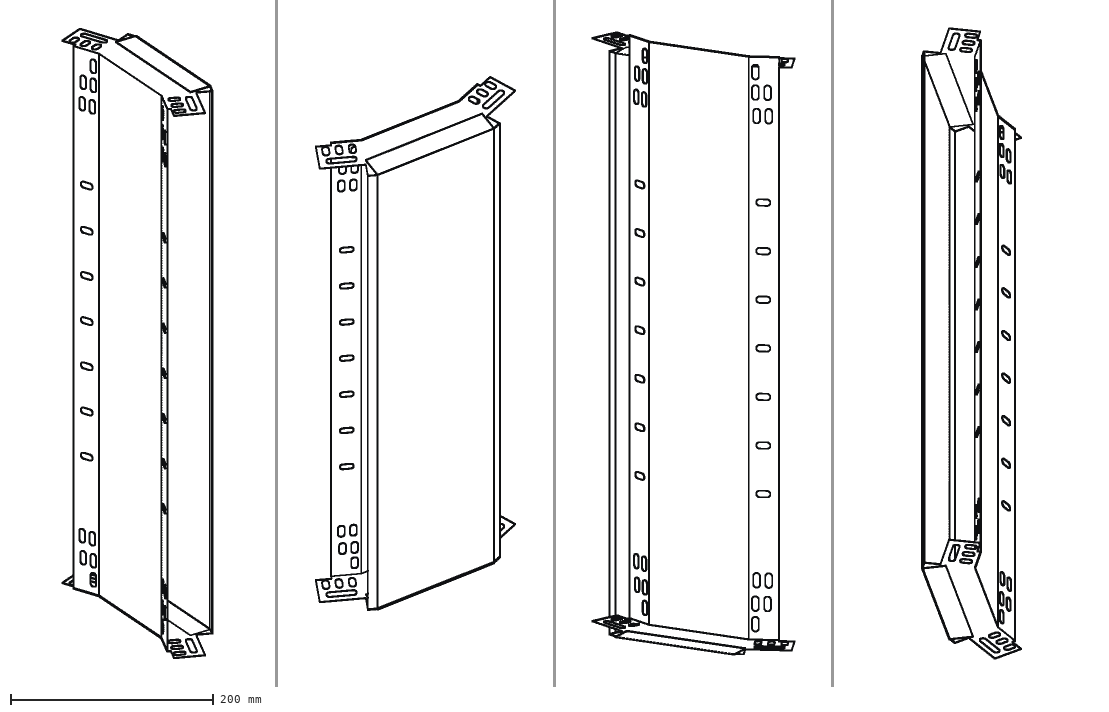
import cadquery as cq
import math

TOTAL_HEIGHT = 603.0
SHEET = 0.8
FOLD_ANGLE = 22.5

WEB_FRONT_Y = -52.0
WEB_HALF_WIDTH = 55.5
WING_WIDTH = 30.0
EAR_LENGTH = 46.0
EAR_DEPTH = 31.5
EAR_SETBACK = 3.9

COVER_HALF_WIDTH = 66.5
LIP_WIDTH = 9.5
FLAP_DEPTH = 24.0

END_SLOT_LENGTH = 15.0
END_SLOT_WIDTH = 6.5
END_SLOT_PITCH = 12.0
FIRST_SLOT_ACROSS = 6.5
LAST_ROW_SHIFT = 1.0
END_ROW_DEPTHS = (16.0, 37.5, 61.5)
SIDE_SLOT_LENGTH = 14.0
SIDE_SLOT_WIDTH = 6.5
SIDE_SLOT_ACROSS = 14.5
SIDE_SLOT_PITCH = 50.0
SIDE_SLOT_COUNT = 7

EAR_SLOT_LENGTH = 12.0
EAR_SLOT_WIDTH = 6.5
EAR_SLOT_COUNT = 3
EAR_SLOT_PITCH = 13.0
FIRST_EAR_SLOT_ACROSS = 10.0
EAR_SLOT_BEHIND = 11.5
LONG_SLOT_LENGTH = 30.0
LONG_SLOT_WIDTH = 6.5
LONG_SLOT_ACROSS = 23.0
LONG_SLOT_BEHIND = 26.0

ALONG = 0
SQUARE = 90

COS = math.cos(math.radians(FOLD_ANGLE))
SIN = math.sin(math.radians(FOLD_ANGLE))
MITRE = SHEET * math.tan(math.radians(FOLD_ANGLE / 2))
CHANNEL_HEIGHT = TOTAL_HEIGHT - 2 * SHEET
CHANNEL_TOP = CHANNEL_HEIGHT / 2


def wing_point(across, behind):
    """Point on the right-hand side: across from the fold along the wing, behind its front face."""
    x = WEB_HALF_WIDTH + across * COS + behind * SIN
    y = WEB_FRONT_Y - across * SIN + behind * COS
    return (x, y)


def lip_point(across, inside):
    """Point on the right-hand cover lip: across from the fold, inside its rear face."""
    x = COVER_HALF_WIDTH + across * COS - inside * SIN
    y = -across * SIN - inside * COS
    return (x, y)


def mirrored_outline(right_half):
    """Closed outline from its right half, listed from the front to the rear."""
    left_half = [(-x, y) for x, y in reversed(right_half)]
    return cq.Workplane("XY").polyline(right_half + left_half).close()


def both_sides(shape):
    return shape.union(shape.mirror("YZ"))


def both_ends(shape):
    return shape.union(shape.mirror("XY"))


def folded_sheet():
    outline = mirrored_outline([
        (WEB_HALF_WIDTH, WEB_FRONT_Y),
        wing_point(WING_WIDTH, 0),
        wing_point(WING_WIDTH, SHEET),
        (WEB_HALF_WIDTH + MITRE, WEB_FRONT_Y + SHEET),
    ])
    return outline.extrude(CHANNEL_HEIGHT).translate((0, 0, -CHANNEL_TOP))


def end_plate():
    """Upper end plate; its dovetail rear edge lies against the inside of the cover."""
    ear_rear = EAR_SETBACK + EAR_DEPTH
    lip_end = lip_point(LIP_WIDTH, SHEET)
    lip_across = (lip_end[0] - WEB_HALF_WIDTH) * COS - (lip_end[1] - WEB_FRONT_Y) * SIN
    outline = mirrored_outline([
        (WEB_HALF_WIDTH, WEB_FRONT_Y),
        wing_point(WING_WIDTH, 0),
        wing_point(WING_WIDTH, EAR_SETBACK),
        wing_point(EAR_LENGTH, EAR_SETBACK),
        wing_point(EAR_LENGTH, ear_rear),
        wing_point(lip_across, ear_rear),
        lip_end,
        (COVER_HALF_WIDTH - MITRE, -SHEET),
    ])
    return outline.extrude(SHEET).translate((0, 0, CHANNEL_TOP - SHEET))


def wing_slot(length, width, across, height, angle):
    """Slot cutter through the right wing, turned from the direction across it."""
    x, y = wing_point(across, SHEET / 2)
    plane = cq.Plane(origin=(x, y, height), xDir=(COS, -SIN, 0), normal=(-SIN, -COS, 0))
    return cq.Workplane(plane).slot2D(length, width, angle).extrude(SHEET, both=True)


def end_slots():
    """The five upright slots near the upper end of the right wing."""
    near, middle, far = [CHANNEL_TOP - depth for depth in END_ROW_DEPTHS]
    second = FIRST_SLOT_ACROSS + END_SLOT_PITCH
    places = [
        (FIRST_SLOT_ACROSS, near),
        (FIRST_SLOT_ACROSS, middle),
        (second, middle),
        (FIRST_SLOT_ACROSS + LAST_ROW_SHIFT, far),
        (second + LAST_ROW_SHIFT, far),
    ]
    slots = cq.Workplane("XY")
    for across, height in places:
        slots = slots.add(wing_slot(END_SLOT_LENGTH, END_SLOT_WIDTH, across, height, SQUARE))
    return slots.combine()


def side_slots():
    """The evenly spaced slots that lie across the right wing."""
    slots = cq.Workplane("XY")
    for index in range(SIDE_SLOT_COUNT):
        height = (index - (SIDE_SLOT_COUNT - 1) / 2) * SIDE_SLOT_PITCH
        slots = slots.add(wing_slot(SIDE_SLOT_LENGTH, SIDE_SLOT_WIDTH, SIDE_SLOT_ACROSS, height, ALONG))
    return slots.combine()


def ear_slot(length, width, across, behind, angle):
    """Slot cutter through the upper right ear, turned from the direction of the wing."""
    x, y = wing_point(across, behind)
    plane = cq.Plane(origin=(x, y, CHANNEL_TOP - SHEET / 2), xDir=(COS, -SIN, 0), normal=(0, 0, 1))
    return cq.Workplane(plane).slot2D(length, width, angle).extrude(SHEET, both=True)


def ear_slots():
    slots = ear_slot(LONG_SLOT_LENGTH, LONG_SLOT_WIDTH, LONG_SLOT_ACROSS, LONG_SLOT_BEHIND, ALONG)
    for index in range(EAR_SLOT_COUNT):
        across = FIRST_EAR_SLOT_ACROSS + index * EAR_SLOT_PITCH
        slots = slots.add(ear_slot(EAR_SLOT_LENGTH, EAR_SLOT_WIDTH, across, EAR_SLOT_BEHIND, SQUARE))
    return slots.combine()


def make_channel():
    channel = folded_sheet().union(both_ends(end_plate()))
    channel = channel.cut(both_sides(both_ends(end_slots())))
    channel = channel.cut(both_sides(side_slots()))
    return channel.cut(both_sides(both_ends(ear_slots())))


def make_cover():
    panel = mirrored_outline([
        (COVER_HALF_WIDTH - MITRE, -SHEET),
        lip_point(LIP_WIDTH, SHEET),
        lip_point(LIP_WIDTH, 0),
        (COVER_HALF_WIDTH, 0),
    ]).extrude(CHANNEL_HEIGHT).translate((0, 0, -CHANNEL_TOP))
    flap = cq.Workplane("XY").box(2 * COVER_HALF_WIDTH, FLAP_DEPTH, SHEET, centered=(True, False, False))
    flap = flap.translate((0, -FLAP_DEPTH, CHANNEL_TOP))
    return panel.union(both_ends(flap))


channel = make_channel()
cover = make_cover()
result = cq.Compound.makeCompound([channel.val(), cover.val()])